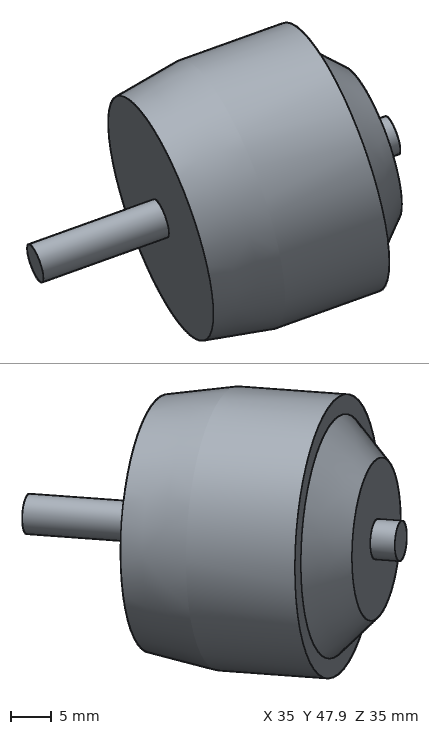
import cadquery as cq
import math

body_diameter = 35.0
body_length = 14.0

front_taper_length = 8.93
front_taper_angle = 10.0

rear_cone_base_diameter = 30.1
rear_cone_length = 5.0

shaft_diameter = 5.0
front_shaft_length = 16.85
rear_shaft_length = 3.15

body_radius = body_diameter / 2
front_face_radius = body_radius - front_taper_length * math.tan(math.radians(front_taper_angle))
rear_cone_base_radius = rear_cone_base_diameter / 2
rear_face_radius = rear_cone_base_radius - rear_cone_length

body_start = front_taper_length
body_end = body_start + body_length
rear_face = body_end + rear_cone_length


def make_housing():
    """Turned housing: front taper, cylinder, shoulder and rear cone."""
    profile = (
        cq.Workplane("XY")
        .moveTo(0, 0)
        .lineTo(front_face_radius, 0)
        .lineTo(body_radius, body_start)
        .lineTo(body_radius, body_end)
        .lineTo(rear_cone_base_radius, body_end)
        .lineTo(rear_face_radius, rear_face)
        .lineTo(0, rear_face)
        .close()
    )
    return profile.revolve(axisStart=(0, 0, 0), axisEnd=(0, 1, 0))


def make_shaft():
    """Round shaft running the full length of the part."""
    shaft_length = front_shaft_length + rear_face + rear_shaft_length
    return (
        cq.Workplane("XZ", origin=(0, -front_shaft_length, 0))
        .circle(shaft_diameter / 2)
        .extrude(-shaft_length)
    )


result = make_housing().union(make_shaft())